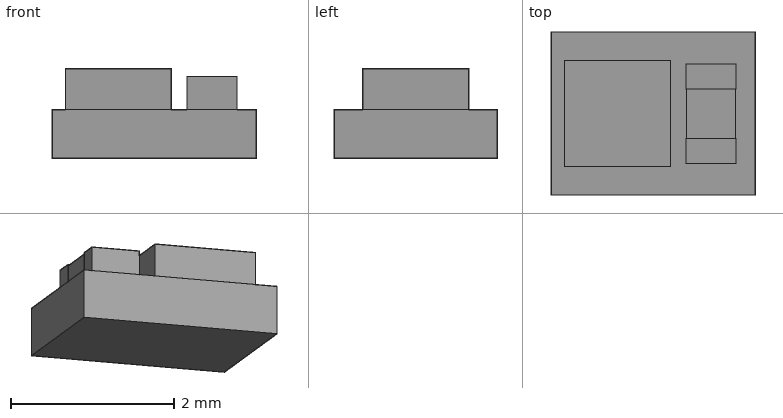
import cadquery as cq

board_length = 2.5
board_width = 2.0
board_thickness = 0.6

chip_side = 1.3
chip_height = 0.5
chip_margin = 0.16

component_gap = 0.19
cap_width = 0.615
cap_length = 0.308
cap_height = 0.405
component_length = 1.22
body_inset = 0.01

chip_x = -board_length / 2 + chip_margin + chip_side / 2
component_x = chip_x + chip_side / 2 + component_gap + cap_width / 2
cap_y = (component_length - cap_length) / 2


def block_on_board(length, width, height, x, y=0):
    """Block standing on the board's top face, centred at (x, y)."""
    block = cq.Workplane("XY").box(length, width, height, centered=(True, True, False))
    return block.translate((x, y, board_thickness))


board = cq.Workplane("XY").box(
    board_length, board_width, board_thickness, centered=(True, True, False)
)

chip = block_on_board(chip_side, chip_side, chip_height, chip_x)

component = block_on_board(
    cap_width - 2 * body_inset, 2 * cap_y, cap_height - body_inset, component_x
)
for side in (-1, 1):
    cap = block_on_board(cap_width, cap_length, cap_height, component_x, side * cap_y)
    component = component.union(cap)

result = board.union(chip).union(component)